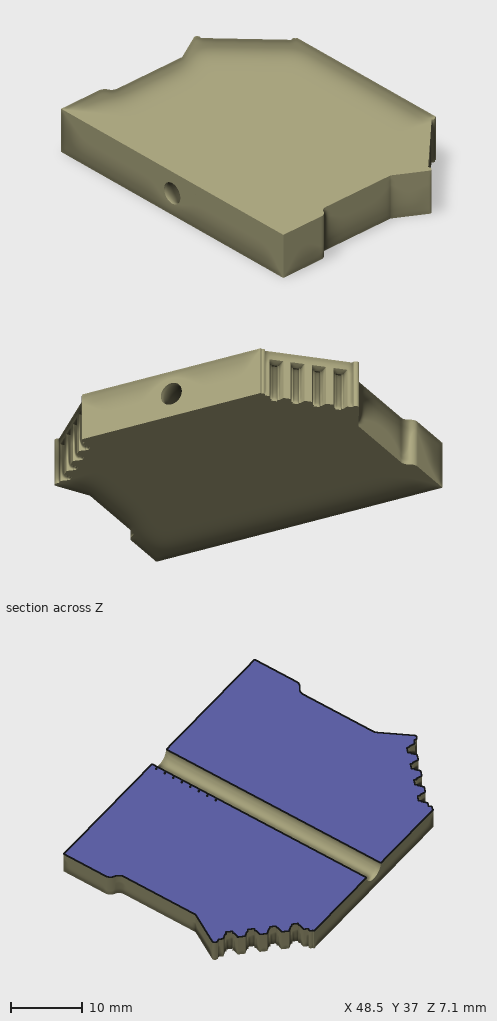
import cadquery as cq
import math

width = 48.55
length = 37.05
thickness = 7.1

foot_half_width = 22.9
foot_top = 7.25
waist_half_width = 21.45
waist_bottom = 9.4
waist_top = 21.75

shoulder_low = (23.4, 27.15)
shoulder_length = 12.73
bead_radius = 0.45
tip_bead = (width / 2 - bead_radius, 26.8)
tip_bead_angles = (-20, 65)
tip_peak = (23.8, 27.3)
crown_half_width = 14.6
crown_bead = (crown_half_width - bead_radius, 36.45)
crown_bead_angles = (-15, 75)

bore_diameter = 3.35

slot_count = 4
slot_pitch = 3.1
slot_width = 2.05
slot_top = 5.85
mouth_depth = 0.83
mouth_taper = 25.0
slot_ledge = 0.2
slot_depth = 1.2

shoulder_run = shoulder_length / math.sqrt(2)
shoulder_high = (shoulder_low[0] - shoulder_run, shoulder_low[1] + shoulder_run)


def on_bead(center, degrees):
    """Point on a bead, the angle being measured from +X."""
    angle = math.radians(degrees)
    return (
        center[0] + bead_radius * math.cos(angle),
        center[1] + bead_radius * math.sin(angle),
    )


def plate():
    foot_bend = ((foot_half_width + waist_half_width) / 2, (foot_top + waist_bottom) / 2)
    tip_start, tip_end = [on_bead(tip_bead, angle) for angle in tip_bead_angles]
    crown_start, crown_end = [on_bead(crown_bead, angle) for angle in crown_bead_angles]
    half = (
        cq.Workplane("XY")
        .lineTo(foot_half_width, 0)
        .lineTo(foot_half_width, foot_top)
        .tangentArcPoint(foot_bend, relative=False)
        .tangentArcPoint((waist_half_width, waist_bottom), relative=False)
        .lineTo(waist_half_width, waist_top)
        .lineTo(*tip_start)
        .threePointArc(on_bead(tip_bead, 0), tip_end)
        .lineTo(*tip_peak)
        .lineTo(*shoulder_low)
        .lineTo(*shoulder_high)
        .lineTo(*crown_start)
        .threePointArc(on_bead(crown_bead, 0), crown_end)
        .lineTo(crown_end[0], length)
        .lineTo(0, length)
        .close()
        .extrude(thickness)
    )
    return half.union(half.mirror("YZ"))


def bore():
    center = (0, 0, thickness / 2)
    return cq.Workplane("XZ", origin=center).circle(bore_diameter / 2).extrude(-length)


def shoulder_slots():
    """Slots of the +X shoulder, cut square to its face; they run out below Z = 0."""
    middle_x = (shoulder_low[0] + shoulder_high[0]) / 2
    middle_y = (shoulder_low[1] + shoulder_high[1]) / 2
    face = cq.Plane(origin=(middle_x, middle_y, 0), xDir=(1, -1, 0), normal=(-1, -1, 0))
    mouth_height = 2 * slot_top
    narrowing = 2 * mouth_depth * math.tan(math.radians(mouth_taper))
    floor_width = slot_width - narrowing - 2 * slot_ledge
    floor_height = mouth_height - narrowing
    slots = cq.Workplane("XY")
    for index in range(slot_count):
        offset = (index - (slot_count - 1) / 2) * slot_pitch
        start = cq.Workplane(face).center(offset, 0)
        mouth = start.rect(slot_width, mouth_height).extrude(mouth_depth, taper=mouth_taper)
        floor = start.rect(floor_width, floor_height).extrude(slot_depth)
        slots = slots.add(mouth.union(floor))
    return slots.combine()


right_slots = shoulder_slots()
result = plate().cut(bore()).cut(right_slots).cut(right_slots.mirror("YZ"))